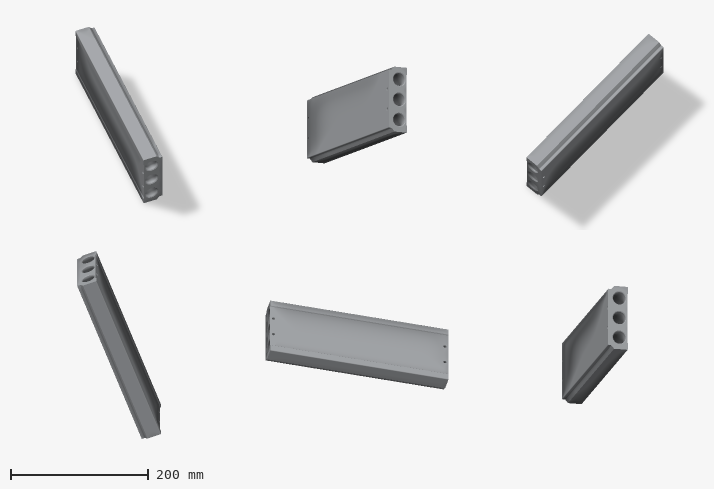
import cadquery as cq

length = 267.0
depth = 30.0
height = 96.0
front = -depth / 2
back = depth / 2
half_height = height / 2

shoulder_drop = 5.0
shoulder_flat = 4.8
shoulder_slope_depth = 4.3
shoulder_root_fillet = 0.8

edge_fillet = 1.0

recess_depth = 1.0
rail_height = 10.1
recess_wall_slope = recess_depth

bore_diameter = 18.7
bore_mouth_diameter = 20.8
bore_pitch = 30.0
bore_inset = 12.8
bore_rows = (-1, 0, 1)

mount_diameter = 4.5
mount_pitch = 30.0
mount_end_inset = 5.0


def make_body():
    """Extrude the cross-section, mirrored about mid-height, and round its long edges."""
    recess_edge = half_height - rail_height
    shoulder_root = back - shoulder_flat
    shoulder_level = half_height - shoulder_drop
    upper = [
        (front + recess_depth, recess_edge - recess_wall_slope),
        (front, recess_edge),
        (front, half_height),
        (shoulder_root - shoulder_slope_depth, half_height),
        (shoulder_root, shoulder_level),
        (back, shoulder_level),
    ]
    lower = [(y, -z) for y, z in reversed(upper)]
    body = cq.Workplane("YZ").polyline(upper + lower).close().extrude(length / 2, both=True)

    for side in (-1, 1):
        front_edge = (0, front, side * half_height)
        back_edge = (0, back, side * shoulder_level)
        root_edge = (0, shoulder_root, side * shoulder_level)
        for point, radius in (
            (front_edge, edge_fillet),
            (back_edge, edge_fillet),
            (root_edge, shoulder_root_fillet),
        ):
            body = body.edges(cq.NearestToPointSelector(point)).fillet(radius)
    return body


def make_bore():
    """Through bore along X, with a 45 degree chamfer at each mouth."""
    bore_radius = bore_diameter / 2
    mouth_radius = bore_mouth_diameter / 2
    half_length = length / 2
    chamfer_start = half_length - (mouth_radius - bore_radius)
    right = [(chamfer_start, bore_radius), (half_length, mouth_radius), (half_length, 0)]
    left = [(-x, radius) for x, radius in reversed(right)]
    return cq.Workplane("XY").polyline(right + left).close().revolve(360, (0, 0), (1, 0))


def make_mount_holes():
    return (
        cq.Workplane("XZ")
        .rarray(length - 2 * mount_end_inset, mount_pitch, 2, 2)
        .circle(mount_diameter / 2)
        .extrude(depth, both=True)
    )


result = make_body().cut(make_mount_holes())
bore = make_bore()
for row in bore_rows:
    result = result.cut(bore.translate((0, front + bore_inset, row * bore_pitch)))